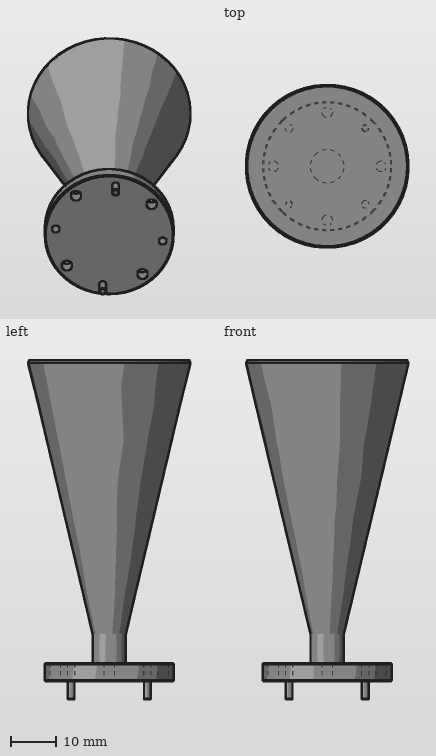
import cadquery as cq
import math

flange_diameter = 28.575
flange_thickness = 4.0
flange_chamfer = 0.25
bolt_circle_radius = 23.81 / 2
screw_hole_diameter = 2.3
screw_hole_count = 4

pin_diameter = 1.56
pin_protrusion = 4.0
pin_chamfer = 0.15
pin_angles = (45, 225)
pin_hole_angles = (135, 315)
pin_hole_diameter = 1.7

neck_diameter = 7.4
neck_length = 6.4
total_height = 74.99
horn_diameter = 36.03
rim_height = 0.6
rim_inset = 0.35

horn_base_z = flange_thickness + neck_length
horn_top_z = total_height - pin_protrusion
rim_z = horn_top_z - rim_height


def on_bolt_circle(angle):
    """Point on the bolt circle at an angle in degrees from +X."""
    radians = math.radians(angle)
    return (bolt_circle_radius * math.cos(radians), bolt_circle_radius * math.sin(radians))


def drill(angles, diameter):
    """Cylinders through the flange at the given bolt circle angles."""
    centres = [on_bolt_circle(angle) for angle in angles]
    return cq.Workplane("XY").pushPoints(centres).circle(diameter / 2).extrude(flange_thickness)


def make_horn():
    """Flange, neck and flared horn as one turned body, with the flange drilled."""
    flange = (
        cq.Workplane("XY")
        .circle(flange_diameter / 2)
        .extrude(flange_thickness)
        .edges()
        .chamfer(flange_chamfer)
    )
    neck_and_flare = (
        cq.Workplane("XZ")
        .moveTo(0, 0)
        .lineTo(neck_diameter / 2, 0)
        .lineTo(neck_diameter / 2, horn_base_z)
        .lineTo(horn_diameter / 2, rim_z)
        .lineTo(horn_diameter / 2 - rim_inset, horn_top_z)
        .lineTo(0, horn_top_z)
        .close()
        .revolve(360, (0, 0, 0), (0, 1, 0))
    )
    screw_angles = [index * 360 / screw_hole_count for index in range(screw_hole_count)]
    screw_holes = drill(screw_angles, screw_hole_diameter)
    open_pin_holes = drill(pin_hole_angles, pin_hole_diameter)
    fitted_pin_holes = drill(pin_angles, pin_diameter)
    drilled_flange = flange.cut(screw_holes).cut(open_pin_holes).cut(fitted_pin_holes)
    return drilled_flange.union(neck_and_flare)


def make_pin(angle):
    """Pin flush with the flange's upper face and standing out below it."""
    return (
        cq.Workplane("XY", origin=(0, 0, -pin_protrusion))
        .center(*on_bolt_circle(angle))
        .circle(pin_diameter / 2)
        .extrude(pin_protrusion + flange_thickness)
        .faces("<Z")
        .chamfer(pin_chamfer)
    )


horn = make_horn()
pins = [make_pin(angle) for angle in pin_angles]

result = cq.Compound.makeCompound([horn.val(), *[pin.val() for pin in pins]])